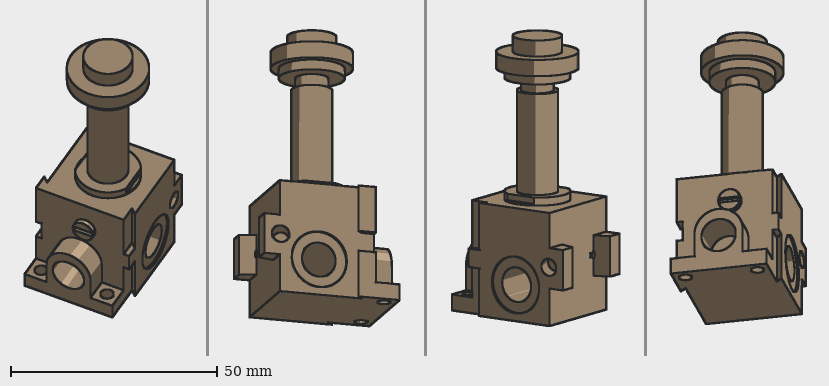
import cadquery as cq
import math

BODY_WIDTH = 23.9
BODY_DEPTH = 24.0
BODY_HEIGHT = 28.0
PORT_HEIGHT = 9.0
PORT_DIAMETER = 8.55

BARB_REACH = 1.5
BARB_TIP_Y = 4.45
BARB_ROOT_Y = 3.0
LATCH_HEIGHT = 14.05
NOTCH_HEIGHT = 5.0
KEY_HEIGHT = 4.5

FOOT_REACH = 6.0
FOOT_THICKNESS = 4.0
FOOT_HOLE_DIAMETER = 3.2
FOOT_HOLE_SPACING = 17.95
BOSS_DIAMETER = 12.0
BOSS_CENTER_HEIGHT = 10.0
FRONT_PORT_DEPTH = 10.0

SIDE_PORT_Y = 13.9
SIDE_RECESS_DIAMETER = 14.0
SIDE_RECESS_DEPTH = 0.5

LUG_REACH = 4.0
LUG_BOTTOM = 9.3
LUG_HEIGHT = 10.0
LUG_ROOT_WIDTH = 5.35
LUG_TIP_WIDTH = 4.05
LUG_BORE_DIAMETER = 4.2
LUG_BORE_LENGTH = 6.15
LUG_BORE_TILT = math.radians(18)
LUG_BORE_Y = 23.8
LUG_BORE_HEIGHT = 14.5
BORE_LEAD_IN = 2.75

SCREW_DIAMETER = 5.5
SCREW_REACH = 1.4
SCREW_HEIGHT = 20.5
SLOT_LENGTH = 5.1
SLOT_WIDTH = 1.15
SLOT_DEPTH = 1.0

STEM_Y = 12.0
COLLAR_DIAMETER = 16.0
COLLAR_HEIGHT = 2.0
COLLAR_RIM = 0.4
COLLAR_FLATS = 14.0
STEM_STEPS = [(10.0, 55.0), (8.0, 58.0), (16.0, 60.5), (20.0, 64.5), (12.0, 68.5)]

body_right = BARB_REACH + BODY_WIDTH
body_center_x = BARB_REACH + BODY_WIDTH / 2
foot_center_x = BODY_WIDTH / 2


def block(x, y, z, width, depth, height):
    """Box placed by its left, front, bottom corner."""
    return cq.Workplane("XY").box(width, depth, height, centered=False).translate((x, y, z))


def rod(diameter, start, direction, length):
    """Cylinder growing from a start point along a direction."""
    return cq.Workplane(
        cq.Solid.makeCylinder(diameter / 2, length, cq.Vector(*start), cq.Vector(*direction))
    )


def barb(left):
    """Full-height barbed strip whose outer side lies at x = left."""
    outline = [
        (left, 0),
        (left + BARB_REACH, 0),
        (left + BARB_REACH, BARB_ROOT_Y),
        (left, BARB_TIP_Y),
    ]
    return cq.Workplane("XY").polyline(outline).close().extrude(BODY_HEIGHT)


def latch_block(left, height):
    """Short block across the barb strip, at the height of the locating latch."""
    return block(left, 0, LATCH_HEIGHT - height / 2, BARB_REACH, BARB_TIP_Y, height)


def main_body():
    body = block(BARB_REACH, 0, 0, BODY_WIDTH, BODY_DEPTH, BODY_HEIGHT)
    tongue = barb(0).cut(latch_block(0, NOTCH_HEIGHT))
    groove = barb(BODY_WIDTH).cut(latch_block(BODY_WIDTH, KEY_HEIGHT))
    return body.union(tongue).cut(groove)


def foot():
    plate = block(0, -FOOT_REACH, 0, BODY_WIDTH, FOOT_REACH, FOOT_THICKNESS)
    for side in (-1, 1):
        hole_x = foot_center_x + side * FOOT_HOLE_SPACING / 2
        start = (hole_x, -FOOT_REACH / 2, 0)
        plate = plate.cut(rod(FOOT_HOLE_DIAMETER, start, (0, 0, 1), FOOT_THICKNESS))
    return plate


def port_boss():
    left = foot_center_x - BOSS_DIAMETER / 2
    dome = rod(BOSS_DIAMETER, (foot_center_x, -FOOT_REACH, BOSS_CENTER_HEIGHT), (0, 1, 0), FOOT_REACH)
    return dome.union(block(left, -FOOT_REACH, 0, BOSS_DIAMETER, FOOT_REACH, BOSS_CENTER_HEIGHT))


def left_lug():
    outline = [
        (BARB_REACH, BODY_DEPTH),
        (LUG_ROOT_WIDTH + BARB_REACH, BODY_DEPTH),
        (LUG_TIP_WIDTH + BARB_REACH, BODY_DEPTH + LUG_REACH),
        (BARB_REACH, BODY_DEPTH + LUG_REACH),
    ]
    lug = cq.Workplane("XY").polyline(outline).close().extrude(LUG_HEIGHT)
    return lug.translate((0, 0, LUG_BOTTOM))


def left_lug_bore():
    """Bore leaning toward the front, started outside the body so that its mouth is complete."""
    along_x = math.cos(LUG_BORE_TILT)
    along_y = -math.sin(LUG_BORE_TILT)
    start = (
        BARB_REACH - BORE_LEAD_IN * along_x,
        LUG_BORE_Y - BORE_LEAD_IN * along_y,
        LUG_BORE_HEIGHT,
    )
    return rod(LUG_BORE_DIAMETER, start, (along_x, along_y, 0), BORE_LEAD_IN + LUG_BORE_LENGTH)


def mirrored(shape):
    """Copy of a shape on the opposite side of the body's middle plane."""
    return shape.mirror("YZ", (body_center_x, 0, 0))


def screw():
    head = rod(SCREW_DIAMETER, (body_center_x, 0, SCREW_HEIGHT), (0, -1, 0), SCREW_REACH)
    slot = block(
        body_center_x - SLOT_LENGTH / 2,
        -SCREW_REACH,
        SCREW_HEIGHT - SLOT_WIDTH / 2,
        SLOT_LENGTH,
        SLOT_DEPTH,
        SLOT_WIDTH,
    )
    return head.cut(slot)


def stem():
    def disc(diameter, bottom, top):
        return rod(diameter, (body_center_x, STEM_Y, bottom), (0, 0, 1), top - bottom)

    rim_top = BODY_HEIGHT + COLLAR_RIM
    collar_top = BODY_HEIGHT + COLLAR_HEIGHT
    flats = block(
        body_center_x - COLLAR_FLATS / 2,
        STEM_Y - COLLAR_DIAMETER / 2,
        rim_top,
        COLLAR_FLATS,
        COLLAR_DIAMETER,
        collar_top - rim_top,
    )
    shape = disc(COLLAR_DIAMETER, BODY_HEIGHT, rim_top)
    shape = shape.union(disc(COLLAR_DIAMETER, rim_top, collar_top).intersect(flats))
    bottom = collar_top
    for diameter, top in STEM_STEPS:
        shape = shape.union(disc(diameter, bottom, top))
        bottom = top
    return shape


def ports():
    front = rod(PORT_DIAMETER, (foot_center_x, -FOOT_REACH, PORT_HEIGHT), (0, 1, 0), FRONT_PORT_DEPTH)
    side_start = (BARB_REACH, SIDE_PORT_Y, PORT_HEIGHT)
    side = rod(PORT_DIAMETER, side_start, (1, 0, 0), BODY_WIDTH)
    left_recess = rod(SIDE_RECESS_DIAMETER, side_start, (1, 0, 0), SIDE_RECESS_DEPTH)
    right_start = (body_right, SIDE_PORT_Y, PORT_HEIGHT)
    right_recess = rod(SIDE_RECESS_DIAMETER, right_start, (-1, 0, 0), SIDE_RECESS_DEPTH)
    return [front, side, left_recess, right_recess]


result = main_body()
for addition in (foot(), port_boss(), left_lug(), mirrored(left_lug()), screw(), stem()):
    result = result.union(addition)
for opening in ports() + [left_lug_bore(), mirrored(left_lug_bore())]:
    result = result.cut(opening)